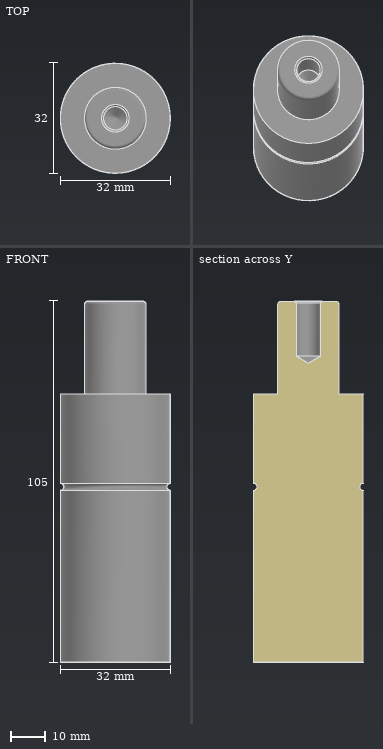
import cadquery as cq
import math

total_height = 105.0
body_diameter = 32.0
rod_diameter = 18.0
rod_length = 27.0
rod_edge_radius = 1.0
body_height = total_height - rod_length

groove_radius = 1.0
groove_height = 51.0

hole_diameter = 6.8
hole_mouth_diameter = 8.0
hole_depth = 16.0
drill_tip_angle = 118.0


def make_stepped_cylinder():
    body = cq.Workplane("XY").circle(body_diameter / 2).extrude(body_height)
    rod = (
        cq.Workplane("XY")
        .workplane(offset=body_height)
        .circle(rod_diameter / 2)
        .extrude(rod_length)
        .faces(">Z")
        .edges()
        .fillet(rod_edge_radius)
    )
    return body.union(rod)


def make_groove_ring():
    ring = cq.Solid.makeTorus(body_diameter / 2, groove_radius)
    return cq.Workplane(ring).translate((0, 0, groove_height))


def make_hole():
    """Drilled hole with a 45 degree mouth chamfer and a conical bottom."""
    hole_radius = hole_diameter / 2
    mouth_radius = hole_mouth_diameter / 2
    chamfer_depth = mouth_radius - hole_radius
    tip_depth = hole_radius / math.tan(math.radians(drill_tip_angle / 2))
    shoulder_height = total_height - hole_depth
    return (
        cq.Workplane("XZ")
        .moveTo(0, total_height)
        .lineTo(mouth_radius, total_height)
        .lineTo(hole_radius, total_height - chamfer_depth)
        .lineTo(hole_radius, shoulder_height)
        .lineTo(0, shoulder_height - tip_depth)
        .close()
        .revolve(360, (0, 0, 0), (0, 1, 0))
    )


result = make_stepped_cylinder().cut(make_groove_ring()).cut(make_hole())